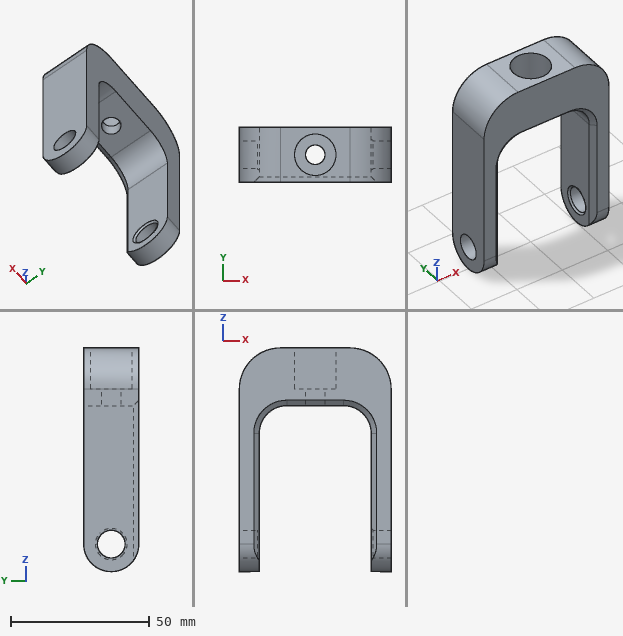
import cadquery as cq

width = 55.0
depth = 20.0
height = 81.0

corner_radius = 15.0
arm_thickness = 7.3
bridge_thickness = 21.0
inner_radius = 10.0
edge_chamfer = 2.0

pin_diameter = 10.0
pin_chamfer = 0.7
bolt_diameter = 7.0
counterbore_diameter = 15.0
counterbore_depth = 15.0

end_radius = depth / 2
gap_width = width - 2 * arm_thickness
gap_top = height - bridge_thickness
overrun = 0.8


def gap_wire(y, offset):
    """Closed outline of the fork opening at depth y, widened by offset on each side."""
    half = gap_width / 2 + offset
    top = gap_top + offset
    radius = inner_radius + offset
    return (
        cq.Workplane("XZ", origin=(0, y, 0))
        .moveTo(-half, -overrun)
        .lineTo(-half, top - radius)
        .radiusArc((-half + radius, top), radius)
        .lineTo(half - radius, top)
        .radiusArc((half, top - radius), radius)
        .lineTo(half, -overrun)
        .close()
        .wire()
        .val()
    )


def loft_gap(y_start, offset_start, y_end, offset_end):
    """Solid filling the opening between two depths, with its own widening at each depth."""
    wires = [gap_wire(y_start, offset_start), gap_wire(y_end, offset_end)]
    return cq.Workplane(cq.Solid.makeLoft(wires, True))


def make_blank():
    """Block with rounded upper corners and fully rounded arm ends."""
    block = cq.Workplane("XY").box(width, depth, height, centered=(True, True, False))
    block = block.edges("|Y and >Z").fillet(corner_radius)
    side_outline = (
        cq.Workplane("YZ")
        .moveTo(-end_radius, height)
        .lineTo(-end_radius, end_radius)
        .threePointArc((0, 0), (end_radius, end_radius))
        .lineTo(end_radius, height)
        .close()
        .extrude(width / 2, both=True)
    )
    return block.intersect(side_outline)


def cut_gap(body):
    """Open the fork and chamfer the front edge of the opening."""
    front_y = -depth / 2
    body = body.cut(loft_gap(front_y, 0, -front_y, 0))
    return body.cut(loft_gap(front_y, edge_chamfer, front_y + edge_chamfer, 0))


def pin_countersink(side):
    """Cone that breaks the pin hole edge on the inner face of one arm."""
    radius = pin_diameter / 2
    return cq.Workplane(
        cq.Solid.makeCone(
            radius + pin_chamfer,
            radius,
            pin_chamfer,
            pnt=cq.Vector(side * gap_width / 2, 0, end_radius),
            dir=cq.Vector(side, 0, 0),
        )
    )


def cut_holes(body):
    """Chamfered pin holes across both arms and counterbored bolt hole through the bridge."""
    pin_hole = (
        cq.Workplane("YZ", origin=(0, 0, end_radius))
        .circle(pin_diameter / 2)
        .extrude(width, both=True)
    )
    body = body.cut(pin_hole)
    for side in (-1, 1):
        body = body.cut(pin_countersink(side))
    top_face = body.faces(">Z").workplane(origin=(0, 0, height))
    return top_face.cboreHole(bolt_diameter, counterbore_diameter, counterbore_depth)


result = cut_holes(cut_gap(make_blank()))